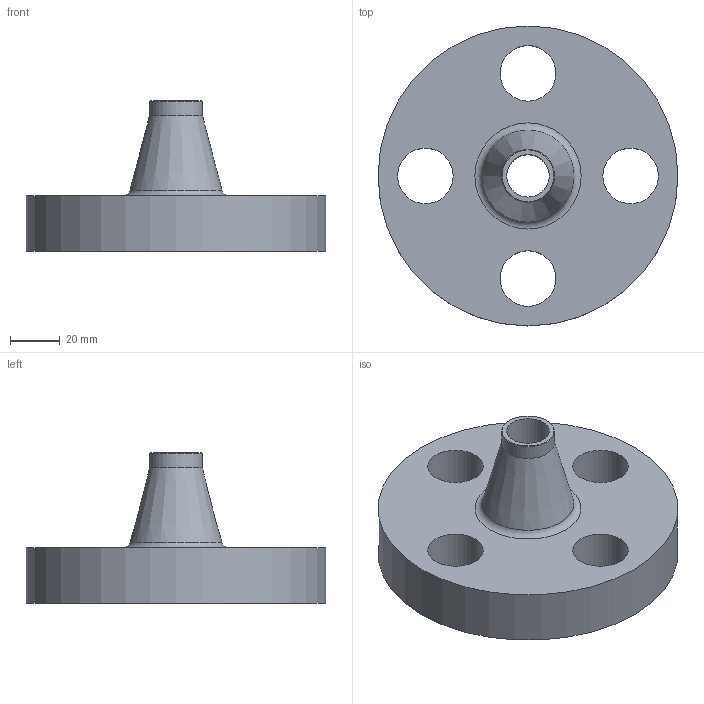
import cadquery as cq
import math

flange_diameter = 120.65
flange_thickness = 22.35
flange_radius = flange_diameter / 2

bolt_count = 4
bolt_hole_diameter = 22.35
bolt_circle_diameter = 82.55

total_height = 60.45
neck_base_diameter = 38.1
neck_end_diameter = 21.3
neck_end_length = 6.0
root_fillet_radius = 3.0
bore_diameter = 17.1

bevel_width = 0.2
bevel_angle = math.radians(37.5)
bevel_height = bevel_width * math.tan(bevel_angle)


def make_flange():
    """Flange plate standing on Z = 0 and centred on the Z axis."""
    return cq.Workplane("XY").circle(flange_radius).extrude(flange_thickness)


def make_neck_profile():
    """Closed half section of the neck, with a root fillet tangent to the cone and the flange face."""
    base_radius = neck_base_diameter / 2
    end_radius = neck_end_diameter / 2
    taper_top = total_height - neck_end_length
    taper_height = taper_top - flange_thickness

    taper_angle = math.atan2(base_radius - end_radius, taper_height)
    tangent_length = root_fillet_radius * math.tan((math.pi / 2 - taper_angle) / 2)
    foot_radius = base_radius + tangent_length
    cone_start = (
        base_radius - tangent_length * math.sin(taper_angle),
        flange_thickness + tangent_length * math.cos(taper_angle),
    )
    fillet_center = (foot_radius, flange_thickness + root_fillet_radius)
    middle_angle = math.atan2(root_fillet_radius, tangent_length)
    fillet_middle = (
        fillet_center[0] - root_fillet_radius * math.cos(middle_angle),
        fillet_center[1] - root_fillet_radius * math.sin(middle_angle),
    )

    return (
        cq.Workplane("XZ")
        .moveTo(0, 0)
        .lineTo(foot_radius, 0)
        .lineTo(foot_radius, flange_thickness)
        .threePointArc(fillet_middle, cone_start)
        .lineTo(end_radius, taper_top)
        .lineTo(end_radius, total_height - bevel_height)
        .lineTo(end_radius - bevel_width, total_height)
        .lineTo(0, total_height)
        .close()
    )


def make_neck():
    """Solid neck, turned about the Z axis."""
    return make_neck_profile().revolve(360, (0, 0, 0), (0, 1, 0))


def make_bolt_holes():
    """Cutters for the bolt holes, starting on the X axis."""
    return (
        cq.Workplane("XY")
        .polarArray(bolt_circle_diameter / 2, 0, 360, bolt_count)
        .circle(bolt_hole_diameter / 2)
        .extrude(flange_thickness)
    )


def make_bore():
    """Cutter for the straight bore through the whole part."""
    return cq.Workplane("XY").circle(bore_diameter / 2).extrude(total_height)


result = make_flange().union(make_neck()).cut(make_bolt_holes()).cut(make_bore())